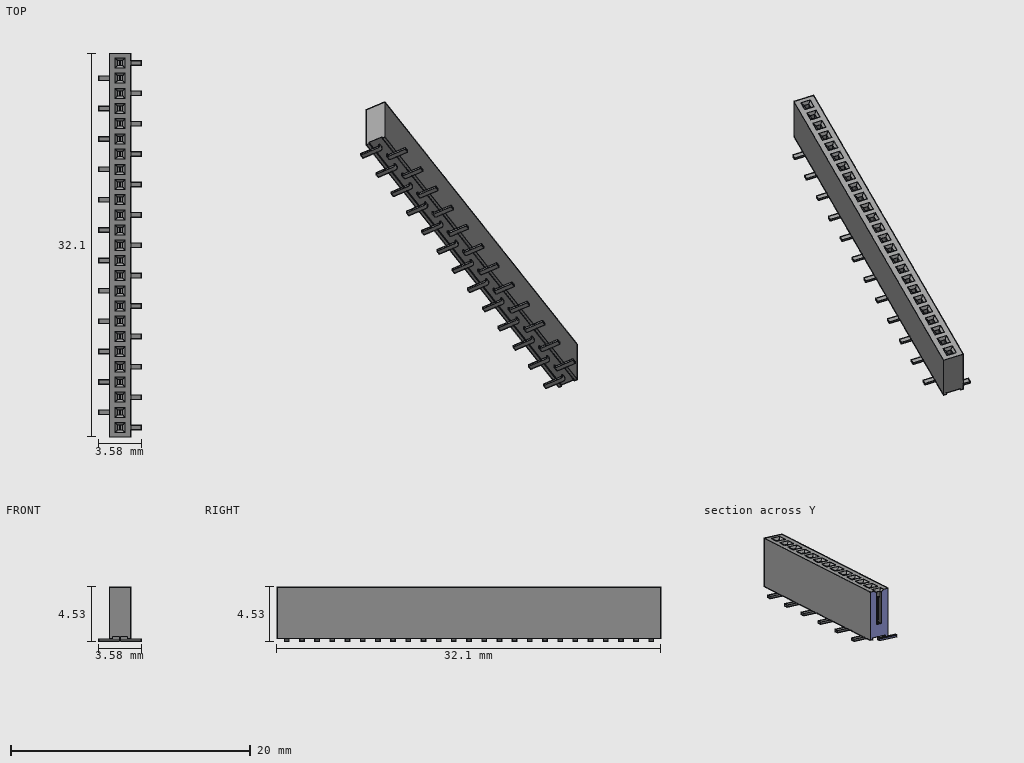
import cadquery as cq

pin_count = 25
pitch = 1.27
lead_span = 3.58
body_length = 32.1
total_height = 4.53

body_width = 1.8
body_height = 4.3
channel_width = 1.25
channel_depth = 0.15

mouth_size = 0.84
hole_size = 0.42
funnel_depth = 0.21
socket_depth = 3.0

lead_thickness = 0.2
lead_width = 0.4
post_thickness = 0.1
bend_radius = 0.2
post_top = 3.9

body_top = total_height
body_bottom = total_height - body_height


def pin_y(index):
    """Y position of a pin, counted from the +Y end of the row."""
    return ((pin_count - 1) / 2 - index) * pitch


def make_housing():
    """Long rectangular housing with a shallow channel along its underside."""
    base = cq.Workplane("XY", origin=(0, 0, body_bottom))
    block = base.rect(body_width, body_length).extrude(body_height)
    channel = base.rect(channel_width, body_length).extrude(channel_depth)
    return block.cut(channel)


def make_socket(y):
    """Cutting solid for one socket: tapered mouth plus a blind square hole."""
    mouth = cq.Workplane("XY", origin=(0, y, body_top))
    funnel = (
        mouth.rect(mouth_size, mouth_size)
        .workplane(offset=-funnel_depth)
        .rect(hole_size, hole_size)
        .loft(ruled=True)
    )
    hole = mouth.rect(hole_size, hole_size).extrude(-socket_depth)
    return funnel.union(hole)


def make_contact(y, side):
    """Flat lead running out to one side (+1 or -1 in X), bent up into a post that enters the housing."""
    inner_x = -side * post_thickness / 2
    outer_x = side * lead_span / 2
    post_outer_x = side * post_thickness / 2
    profile = (
        cq.Workplane("XZ", origin=(0, y + lead_width / 2, 0))
        .moveTo(outer_x, 0)
        .lineTo(inner_x + side * bend_radius, 0)
        .radiusArc((inner_x, bend_radius), side * bend_radius)
        .lineTo(inner_x, post_top)
        .lineTo(post_outer_x, post_top)
        .lineTo(post_outer_x, lead_thickness)
        .lineTo(outer_x, lead_thickness)
        .close()
    )
    return profile.extrude(lead_width)


result = make_housing()
for index in range(pin_count):
    side = 1 if index % 2 == 0 else -1
    result = result.cut(make_socket(pin_y(index)))
    result = result.union(make_contact(pin_y(index), side))